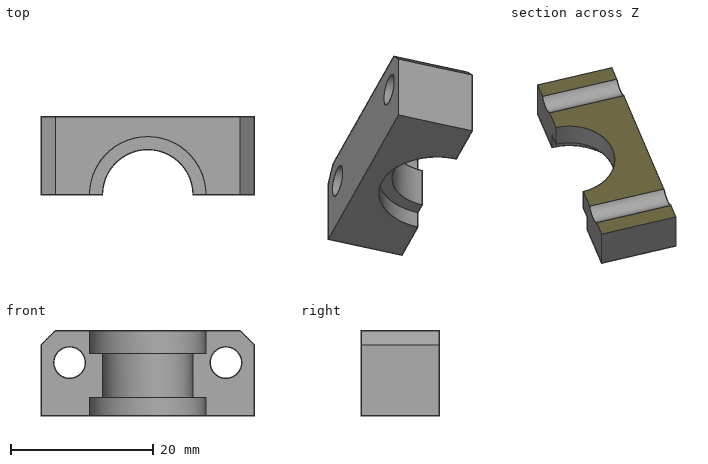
import cadquery as cq

LENGTH = 30.0
DEPTH = 11.0
HEIGHT = 12.0
CORNER_CHAMFER = 2.0

NECK_DIAMETER = 12.7
RECESS_DIAMETER = 16.4
TOP_RECESS_DEPTH = 3.25
BOTTOM_RECESS_DEPTH = 2.6

HOLE_DIAMETER = 4.4
HOLE_SPACING = 22.0
HOLE_HEIGHT = 7.5


def make_block():
    """Block with its front face on Y = 0 and its two upper end edges chamfered."""
    block = cq.Workplane("XY").box(LENGTH, DEPTH, HEIGHT, centered=(True, False, False))
    upper_end_edges = block.faces(">Z").edges("|Y")
    return upper_end_edges.chamfer(CORNER_CHAMFER)


def vertical_cylinder(diameter, bottom, height):
    """Cylinder on the saddle axis, starting at the given height."""
    return cq.Workplane("XY").workplane(offset=bottom).circle(diameter / 2).extrude(height)


def cut_saddle(body):
    """Narrow neck through the full height, widened by a recess at each end."""
    neck = vertical_cylinder(NECK_DIAMETER, 0, HEIGHT)
    bottom_recess = vertical_cylinder(RECESS_DIAMETER, 0, BOTTOM_RECESS_DEPTH)
    top_recess = vertical_cylinder(RECESS_DIAMETER, HEIGHT - TOP_RECESS_DEPTH, TOP_RECESS_DEPTH)
    return body.cut(neck).cut(bottom_recess).cut(top_recess)


def cut_screw_holes(body):
    """Two plain through holes, one on each side of the saddle."""
    centers = [(side * HOLE_SPACING / 2, HOLE_HEIGHT) for side in (-1, 1)]
    holes = cq.Workplane("XZ").pushPoints(centers).circle(HOLE_DIAMETER / 2).extrude(-DEPTH)
    return body.cut(holes)


result = cut_screw_holes(cut_saddle(make_block()))